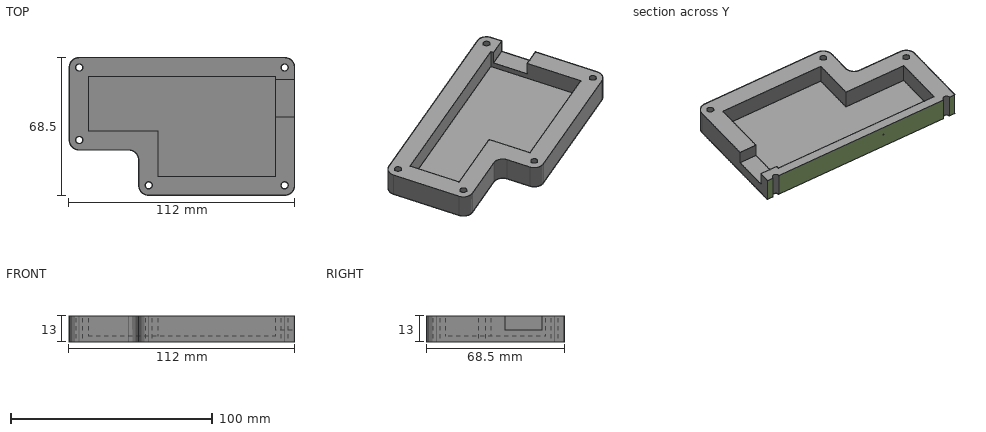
import cadquery as cq

length = 112.0
width = 68.5
height = 13.0
step_x = 34.5
step_y = 22.5
corner_radius = 5.0

wall = 9.5
floor_thickness = 3.0

hole_diameter = 3.4
hole_inset = corner_radius

opening_width = 18.5
opening_top_margin = 11.0
opening_depth = 7.0


def l_prism(inset, bottom, top):
    """Sharp-cornered L-shaped prism, inset evenly from the outer outline."""
    left = inset
    right = length - inset
    front = inset
    back = width - inset
    inner_x = step_x + inset
    inner_y = step_y + inset
    outline = [
        (inner_x, front),
        (right, front),
        (right, back),
        (left, back),
        (left, inner_y),
        (inner_x, inner_y),
    ]
    return cq.Workplane("XY").workplane(offset=bottom).polyline(outline).close().extrude(top - bottom)


def make_block():
    return l_prism(0, 0, height).edges("|Z").fillet(corner_radius)


def make_screw_holes():
    right = length - hole_inset
    back = width - hole_inset
    centers = [
        (hole_inset, back),
        (right, back),
        (right, hole_inset),
        (step_x + hole_inset, hole_inset),
        (hole_inset, step_y + hole_inset),
    ]
    return cq.Workplane("XY").pushPoints(centers).circle(hole_diameter / 2).extrude(height)


def make_cable_opening():
    return cq.Workplane("XY").box(wall, opening_width, opening_depth, centered=False).translate(
        (length - wall, width - opening_top_margin - opening_width, height - opening_depth)
    )


pocket = l_prism(wall, floor_thickness, height)
part = make_block().cut(pocket).cut(make_screw_holes()).cut(make_cable_opening())
result = part.translate((-length / 2, -width / 2, 0))